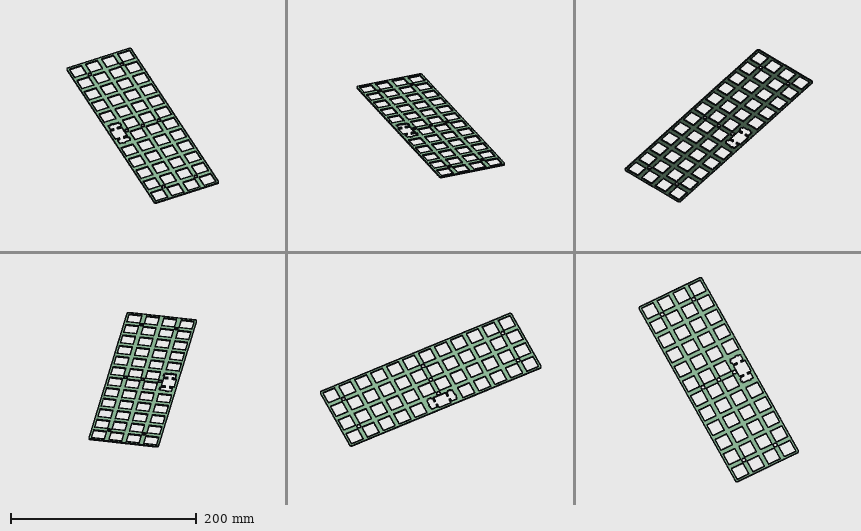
import cadquery as cq

length = 228.5
thickness = 1.5
columns = 12
rows = 4
pitch = length / columns
width = rows * pitch
corner_radius = 2.0

web_width = 5.0
key_opening = pitch - web_width
wide_key_row = 0
wide_key_columns = (5, 6)
wide_key_y = (wide_key_row + 0.5) * pitch - width / 2

hole_radius = 2.13
outer_hole_x = length / 2 - pitch

stabilizer_x = 12.0
stabilizer_width = 6.6
stabilizer_top = 6.9
stabilizer_bottom = -5.5
tab_width = 3.2
tab_height = 1.2
notch_depth = 0.82
notch_top = 0.5
notch_bottom = -2.3
channel_height = 4.5


def through_box(x_min, x_max, y_min, y_max):
    """Rectangular cutter through the full plate thickness."""
    box = cq.Workplane("XY").box(x_max - x_min, y_max - y_min, thickness, centered=False)
    return box.translate((x_min, y_min, 0))


def key_openings():
    """Square openings at the centres of the single-width keys, and one for the double-width key."""
    centers = [(0, wide_key_y)]
    for row in range(rows):
        for column in range(columns):
            if row == wide_key_row and column in wide_key_columns:
                continue
            x = (column + 0.5) * pitch - length / 2
            y = (row + 0.5) * pitch - width / 2
            centers.append((x, y))
    return cq.Workplane("XY").pushPoints(centers).rect(key_opening, key_opening).extrude(thickness)


def mounting_holes():
    """Two rows of three round holes, and one more at the plate centre."""
    centers = [(x, y) for x in (-outer_hole_x, 0, outer_hole_x) for y in (-pitch, pitch)]
    centers.append((0, 0))
    return cq.Workplane("XY").pushPoints(centers).circle(hole_radius).extrude(thickness)


def stabilizer_opening():
    """Housing opening on the +X side of the double-width key, with a top tab and an outer notch."""
    inner_x = stabilizer_x - stabilizer_width / 2
    outer_x = stabilizer_x + stabilizer_width / 2
    housing = through_box(inner_x, outer_x, stabilizer_bottom, stabilizer_top)
    tab = through_box(
        stabilizer_x - tab_width / 2,
        stabilizer_x + tab_width / 2,
        stabilizer_bottom,
        stabilizer_top + tab_height,
    )
    notch = through_box(stabilizer_x, outer_x + notch_depth, notch_bottom, notch_top)
    return housing.union(tab).union(notch)


def stabilizer_cutout():
    """Mirrored pair of housing openings joined by a channel across the key opening."""
    right = stabilizer_opening()
    left = right.mirror("YZ")
    channel = through_box(-stabilizer_x, stabilizer_x, -channel_height / 2, channel_height / 2)
    return right.union(left).union(channel).translate((0, wide_key_y, 0))


plate = cq.Workplane("XY").rect(length, width).extrude(thickness).edges("|Z").fillet(corner_radius)
result = plate.cut(key_openings()).cut(mounting_holes()).cut(stabilizer_cutout())